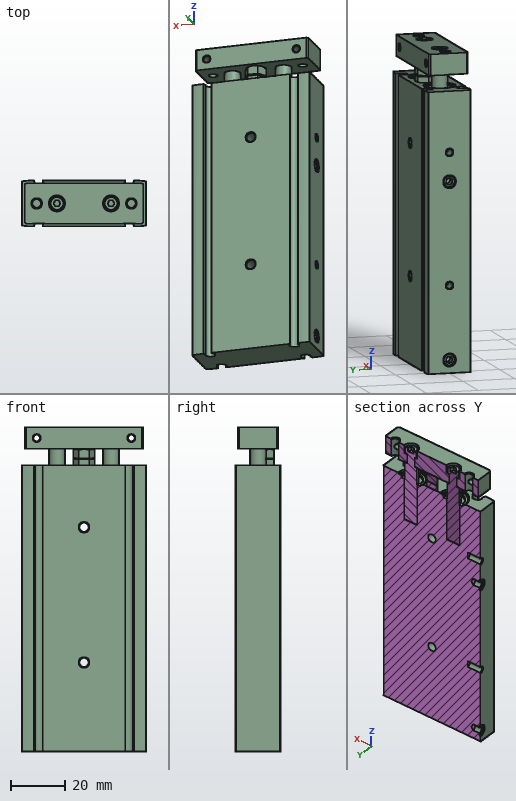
import cadquery as cq
import math


housing_width = 46.0
housing_depth = 17.0
housing_height = 106.0
half_width = housing_width / 2
half_depth = housing_depth / 2
flange_corner_drop = 0.3
flange_crown_width = 2.7
flange_edge_break = 0.2

slot_diameter = 3.7
slot_center_x = 16.4
slot_center_y = 6.4
slot_wall_x = 15.3
slot_lip_x = 18.0
slot_mouth_x = 18.55

mount_hole_diameter = 3.4
mount_hole_rim = 4.0
mount_hole_heights = (33.0, 83.0)
side_tap_diameter = 2.46
side_tap_rim = 3.0
side_tap_depth = 6.0
port_heights = (5.0, 72.0)
port_rim = 5.0
port_diameter = 4.13
port_depth = 0.5
port_pilot_diameter = 2.46
port_pilot_depth = 3.0
drill_tip_angle = 118.0

rod_spacing = 20.0
rod_diameter = 6.0
rod_insertion = 20.0

gland_rim_diameter = 12.0
gland_outer_diameter = 11.0
gland_outer_depth = 0.5
gland_inner_diameter = 9.0
gland_inner_depth = 1.5

screw_diameter = 3.4
head_diameter = 5.5
head_height = 3.0
head_chamfer = 0.4
head_sink = 0.5
socket_across_flats = 2.2
socket_depth = 1.5

plate_width = 44.0
plate_depth = 15.0
plate_height = 8.0
plate_gap = 6.0
plate_chamfer = 0.6
plate_hole_spacing = 35.0
plate_top_hole_diameter = 3.24
plate_top_hole_rim = 4.0
plate_front_hole_diameter = 2.46
plate_front_hole_rim = 3.0
head_recess_diameter = 6.03
plate_bottom = housing_height + plate_gap
plate_top = plate_bottom + plate_height
head_top = plate_top - head_sink
head_bottom = head_top - head_height

bolt_y = 2.5
hex_across_flats = 7.0
bolt_head_height = 2.2
bolt_collar_diameter = 6.5
bolt_collar_height = 0.4
bolt_diameter = 4.0
bolt_grip = 4.0
nut_chamfer_diameter = 6.5
nut_chamfer_angle = 30.0
nut_bottom = housing_height + bolt_head_height + bolt_collar_height

rod_positions = (-rod_spacing / 2, rod_spacing / 2)
plate_hole_positions = (-plate_hole_spacing / 2, plate_hole_spacing / 2)
UP = (0, 0, 1)
DOWN = (0, 0, -1)
BACKWARD = (0, 1, 0)
FORWARD = (0, -1, 0)
INWARD = (1, 0, 0)


def cylinder(start, direction, diameter, length):
    """Cylinder from a start point along a direction."""
    return cq.Workplane(cq.Solid.makeCylinder(diameter / 2, length, cq.Vector(*start), cq.Vector(*direction)))


def cone_between(start, direction, start_diameter, end_diameter, length):
    """Cone from a start point along a direction, changing between two diameters."""
    cone = cq.Solid.makeCone(
        start_diameter / 2, end_diameter / 2, length, cq.Vector(*start), cq.Vector(*direction)
    )
    return cq.Workplane(cone)


def rim_cone(start, direction, rim_diameter, hole_diameter):
    """45 degree countersink that opens a hole from its diameter to its rim diameter."""
    depth = (rim_diameter - hole_diameter) / 2
    return cone_between(start, direction, rim_diameter, hole_diameter, depth)


def rimmed_hole(start, direction, diameter, rim_diameter, length):
    """Cutter for a flat-bottomed hole with a countersunk rim at its start."""
    return cylinder(start, direction, diameter, length).union(
        rim_cone(start, direction, rim_diameter, diameter)
    )


def through_hole_y(x, z, diameter, rim_diameter, depth):
    """Cutter through a body of the given Y depth, countersunk on both faces."""
    front = rimmed_hole((x, -depth / 2, z), BACKWARD, diameter, rim_diameter, depth)
    return front.union(rim_cone((x, depth / 2, z), FORWARD, rim_diameter, diameter))


def hex_prism(across_flats, bottom, height, x, y):
    """Hexagonal prism with corners toward +X and -X."""
    across_corners = across_flats / math.cos(math.radians(30))
    return cq.Workplane("XY", origin=(x, y, bottom)).polygon(6, across_corners).extrude(height)



def flange_corner():
    """Material outside one crowned flange corner, at +X and +Y."""
    radius = (flange_crown_width**2 + flange_corner_drop**2) / (2 * flange_corner_drop)
    half_run = flange_crown_width / 2
    mid_drop = radius - math.sqrt(radius**2 - half_run**2)
    crown_end_x = half_width - flange_edge_break
    crown_end_y = half_depth - flange_corner_drop
    return (
        cq.Workplane("XY")
        .moveTo(crown_end_x - flange_crown_width, half_depth)
        .threePointArc((crown_end_x - half_run, half_depth - mid_drop), (crown_end_x, crown_end_y))
        .lineTo(half_width, crown_end_y - flange_edge_break)
        .lineTo(half_width, half_depth)
        .close()
        .extrude(housing_height)
    )


def sensor_slot():
    """Keyhole slot at +X and +Y: a straight inner wall, a round bottom and a sloped outer lip."""
    radius = slot_diameter / 2
    wall_y = slot_center_y + math.sqrt(radius**2 - (slot_center_x - slot_wall_x) ** 2)
    lip_y = slot_center_y + math.sqrt(radius**2 - (slot_lip_x - slot_center_x) ** 2)
    return (
        cq.Workplane("XY")
        .moveTo(slot_wall_x, half_depth)
        .lineTo(slot_wall_x, wall_y)
        .threePointArc((slot_center_x, slot_center_y - radius), (slot_lip_x, lip_y))
        .lineTo(slot_mouth_x, half_depth)
        .close()
        .extrude(housing_height)
    )


def port(z):
    """Air port in the -X side: shallow countersunk seat, then a pilot with a drill-point bottom."""
    seat = rimmed_hole((-half_width, 0, z), INWARD, port_diameter, port_rim, port_depth)
    pilot_x = -half_width + port_depth
    pilot = cylinder((pilot_x, 0, z), INWARD, port_pilot_diameter, port_pilot_depth)
    tip_height = port_pilot_diameter / 2 / math.tan(math.radians(drill_tip_angle / 2))
    tip_start = (pilot_x + port_pilot_depth, 0, z)
    tip = cone_between(tip_start, INWARD, port_pilot_diameter, 0, tip_height)
    return seat.union(pilot).union(tip)


def make_housing():
    body = cq.Workplane("XY").box(
        housing_width, housing_depth, housing_height, centered=(True, True, False)
    )
    corner_cut = flange_corner().union(sensor_slot())
    side_cuts = corner_cut.union(corner_cut.mirror("YZ"))
    body = body.cut(side_cuts).cut(side_cuts.mirror("XZ"))
    for z in mount_hole_heights:
        body = body.cut(through_hole_y(0, z, mount_hole_diameter, mount_hole_rim, housing_depth))
        body = body.cut(
            rimmed_hole((-half_width, 0, z), INWARD, side_tap_diameter, side_tap_rim, side_tap_depth)
        )
    for z in port_heights:
        body = body.cut(port(z))
    for x in rod_positions:
        mouth = (x, 0, housing_height)
        body = body.cut(
            rimmed_hole(mouth, DOWN, gland_outer_diameter, gland_rim_diameter, gland_outer_depth)
        )
        body = body.cut(cylinder(mouth, DOWN, gland_inner_diameter, gland_inner_depth))
        body = body.cut(cylinder(mouth, DOWN, rod_diameter, rod_insertion))
    return body



def make_plate():
    body = (
        cq.Workplane("XY", origin=(0, 0, plate_bottom))
        .box(plate_width, plate_depth, plate_height, centered=(True, True, False))
        .edges("|Z")
        .chamfer(plate_chamfer)
    )
    middle_z = plate_bottom + plate_height / 2
    for x in plate_hole_positions:
        body = body.cut(
            rimmed_hole(
                (x, 0, plate_top), DOWN, plate_top_hole_diameter, plate_top_hole_rim, plate_height
            )
        )
        body = body.cut(
            through_hole_y(x, middle_z, plate_front_hole_diameter, plate_front_hole_rim, plate_depth)
        )
    for x in rod_positions:
        body = body.cut(cylinder((x, 0, plate_bottom), UP, screw_diameter, plate_height))
        body = body.cut(
            cylinder((x, 0, head_bottom), UP, head_recess_diameter, plate_top - head_bottom)
        )
    return body.cut(cylinder((0, bolt_y, plate_bottom), UP, bolt_diameter, bolt_grip))



def make_rod(x):
    rod_bottom = housing_height - rod_insertion
    shaft = cylinder((x, 0, rod_bottom), UP, rod_diameter, plate_bottom - rod_bottom)
    screw = cylinder((x, 0, plate_bottom), UP, screw_diameter, head_bottom - plate_bottom)
    head = cylinder((x, 0, head_bottom), UP, head_diameter, head_height)
    head = head.faces(">Z").chamfer(head_chamfer)
    socket = hex_prism(socket_across_flats, head_top - socket_depth, socket_depth, x, 0)
    return shaft.union(screw).union(head.cut(socket))



def make_stop_bolt():
    head_upper_z = housing_height + bolt_head_height
    head = hex_prism(hex_across_flats, housing_height, bolt_head_height, 0, bolt_y)
    collar = cylinder((0, bolt_y, head_upper_z), UP, bolt_collar_diameter, bolt_collar_height)
    shank_length = plate_bottom + bolt_grip - nut_bottom
    shank = cylinder((0, bolt_y, nut_bottom), UP, bolt_diameter, shank_length)
    return head.union(collar).union(shank)



def make_lock_nut():
    height = plate_bottom - nut_bottom
    prism = hex_prism(hex_across_flats, nut_bottom, height, 0, bolt_y)
    base_diameter = nut_chamfer_diameter + 2 * height / math.tan(math.radians(nut_chamfer_angle))
    cone = cone_between((0, bolt_y, nut_bottom), UP, base_diameter, nut_chamfer_diameter, height)
    nut = prism.intersect(cone)
    return nut.cut(cylinder((0, bolt_y, nut_bottom), UP, bolt_diameter, height))


housing = make_housing()
plate = make_plate()
rods = [make_rod(x) for x in rod_positions]
stop_bolt = make_stop_bolt()
lock_nut = make_lock_nut()

result = cq.Compound.makeCompound(
    [housing.val(), plate.val(), *[rod.val() for rod in rods], stop_bolt.val(), lock_nut.val()]
)